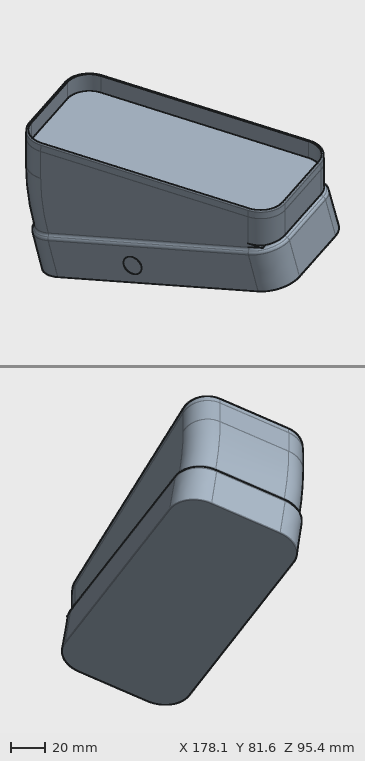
import cadquery as cq
import math

UPPER_LENGTH = 168.6
UPPER_WIDTH = 77.0
CORNER_RADIUS = 16.0
UPPER_HEIGHT = 24.5
LIP_HEIGHT = 5.0
LIP_TAPER = 2.0
RIM_FILLET = 0.5

WALL = 1.5
TRAY_DEPTH = 12.0

BEND_ANGLE = 15.0
AXIS_TO_RIGHT_WALL = 6.2
AXIS_X = UPPER_LENGTH / 2 - AXIS_TO_RIGHT_WALL

COLLAR_FLARE = 2.1
COLLAR_HEIGHT = 3.95
BASE_DEPTH = 29.32
BASE_DRAFT = 0.5
BASE_EDGE_FILLET = 0.4

MARK_RADIUS = 6.0
MARK_FROM_AXIS = 92.2
MARK_DEPTH_BELOW_AXIS = 17.2
MARK_RECESS = 0.1


def rounded_rectangle(plane, offset=0.0):
    """Box outline on the given plane, grown outward by offset."""
    return (
        cq.Workplane(plane)
        .sketch()
        .rect(UPPER_LENGTH + 2 * offset, UPPER_WIDTH + 2 * offset)
        .vertices()
        .fillet(CORNER_RADIUS + offset)
        .finalize()
    )


def horizontal_plane(z):
    return cq.Plane(origin=(0, 0, z))


def tilt(shape):
    """Turn a shape about the bend axis so its right end rises."""
    return shape.rotate((AXIS_X, 0, 0), (AXIS_X, 1, 0), -BEND_ANGLE)


def upper_box():
    lip_start = UPPER_HEIGHT - LIP_HEIGHT
    body = rounded_rectangle(horizontal_plane(0)).extrude(lip_start)
    lip = rounded_rectangle(horizontal_plane(lip_start)).extrude(LIP_HEIGHT, taper=LIP_TAPER)
    return body.union(lip).faces(">Z").edges().fillet(RIM_FILLET)


def bend():
    """The outline left of the bend axis, revolved down about that axis."""
    left_part_length = UPPER_LENGTH - AXIS_TO_RIGHT_WALL
    left_part = (
        cq.Workplane("XY")
        .center(AXIS_X - left_part_length / 2, 0)
        .sketch()
        .rect(left_part_length, UPPER_WIDTH)
        .vertices("<X")
        .fillet(CORNER_RADIUS)
        .finalize()
    )
    axis_local_x = left_part_length / 2
    return left_part.revolve(BEND_ANGLE, (axis_local_x, 1, 0), (axis_local_x, 0, 0))


def collar():
    """Core of the collar plus a ring whose outside is two tangent arcs."""
    core = rounded_rectangle(horizontal_plane(0)).extrude(-COLLAR_HEIGHT)
    half_angle = math.atan(COLLAR_FLARE / COLLAR_HEIGHT)
    arc_radius = COLLAR_HEIGHT / 2 / math.sin(2 * half_angle)
    wall = UPPER_WIDTH / 2
    ring_overlap = COLLAR_HEIGHT
    middle = (wall + COLLAR_FLARE / 2, -COLLAR_HEIGHT / 2)
    profile = (
        cq.Workplane("YZ")
        .moveTo(wall, 0)
        .radiusArc(middle, -arc_radius)
        .radiusArc((wall + COLLAR_FLARE, -COLLAR_HEIGHT), arc_radius)
        .lineTo(wall - ring_overlap, -COLLAR_HEIGHT)
        .lineTo(wall - ring_overlap, 0)
        .close()
    )
    return core.union(profile.sweep(core.faces(">Z").wires()))


def base_block():
    block = rounded_rectangle(horizontal_plane(-COLLAR_HEIGHT), COLLAR_FLARE).extrude(
        COLLAR_HEIGHT - BASE_DEPTH, taper=-BASE_DRAFT
    )
    return block.faces("<Z").edges().fillet(BASE_EDGE_FILLET)


def front_mark():
    """Disc cut reaching just into the drafted front wall."""
    drop = MARK_DEPTH_BELOW_AXIS - COLLAR_HEIGHT
    wall_y = UPPER_WIDTH / 2 + COLLAR_FLARE + drop * math.tan(math.radians(BASE_DRAFT))
    cutter = cq.Workplane("XZ", origin=(AXIS_X - MARK_FROM_AXIS, -wall_y, -MARK_DEPTH_BELOW_AXIS))
    return cutter.circle(MARK_RADIUS).extrude(MARK_RECESS, both=True)


def tray():
    return rounded_rectangle(horizontal_plane(UPPER_HEIGHT - TRAY_DEPTH), -WALL).extrude(TRAY_DEPTH)


base = tilt(collar().union(base_block()).cut(front_mark()))
result = upper_box().union(bend()).union(base).cut(tray())